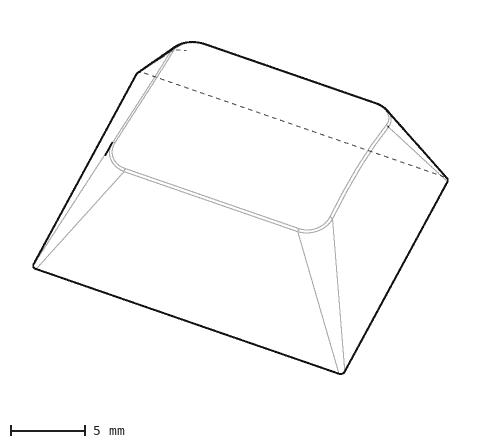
import cadquery as cq
import math

base_width = 22.75
base_depth = 18.0
base_corner_radius = 0.3

height = 8.7
crown_radius = 44.38
crown_apex_y = -5.4
rim_fillet = 0.2

tangent_y = 3.65
trim_gap = 0.23
upper_half_width = 7.74
upper_front_y = -4.53
upper_back_y = 8.38
upper_corner_radius = 2.0

crown_center_z = height - crown_radius
tilt = math.asin((tangent_y - crown_apex_y) / crown_radius)


def rounded_outline(plane, width, depth, radius):
    """Closed rounded rectangle wire centred on a plane."""
    outline = cq.Sketch().rect(width, depth).vertices().fillet(radius).reset().faces().val()
    return outline.outerWire().moved(cq.Location(plane))


def tapered_body():
    """Ruled walls from the level base outline to the tilted upper outline."""
    center_y = (upper_front_y + upper_back_y) / 2
    tangent_z = crown_center_z + crown_radius * math.cos(tilt) + trim_gap
    center_z = tangent_z - (center_y - tangent_y) * math.tan(tilt)
    upper_plane = cq.Plane(
        origin=(0, center_y, center_z),
        xDir=(1, 0, 0),
        normal=(0, math.sin(tilt), math.cos(tilt)),
    )
    upper_depth = (upper_back_y - upper_front_y) / math.cos(tilt)
    base = rounded_outline(cq.Plane.XY(), base_width, base_depth, base_corner_radius)
    upper = rounded_outline(upper_plane, 2 * upper_half_width, upper_depth, upper_corner_radius)
    return cq.Workplane(cq.Solid.makeLoft([base, upper], True))


def crown_cylinder():
    """Cylinder whose upper surface forms the crown."""
    return (
        cq.Workplane("YZ")
        .center(crown_apex_y, crown_center_z)
        .circle(crown_radius)
        .extrude(base_width / 2, both=True)
    )


trimmed = tapered_body().intersect(crown_cylinder())
result = trimmed.faces(">Z").edges().fillet(rim_fillet)